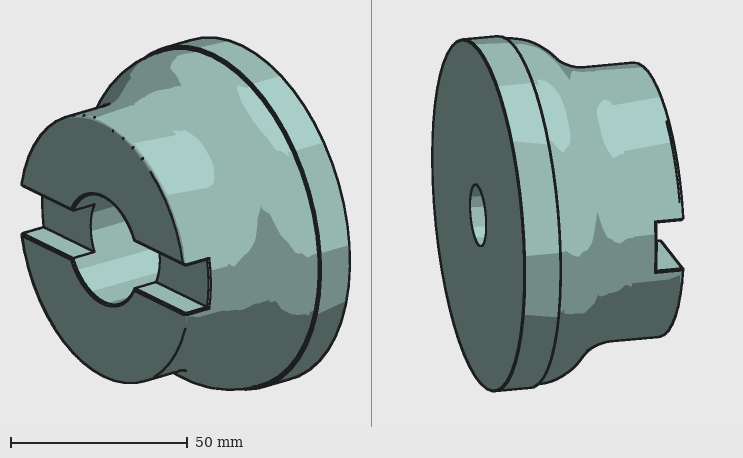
import cadquery as cq
import math

FLANGE_RADIUS = 50.0
TOTAL_LENGTH = 50.0
FLANGE_LENGTH = 10.8
FLANGE_EDGE_CHAMFER = 0.25

SHOULDER_RADIUS = 49.2
NECK_RADIUS = 39.0
NECK_LENGTH = 15.0
WAIST_ARC_RADIUS = 15.0
NECK_EDGE_FILLET = 1.0

BORE_RADIUS = 8.75
COUNTERBORE_RADIUS = 16.0
COUNTERBORE_DEPTH = TOTAL_LENGTH - FLANGE_LENGTH
SLOT_WIDTH = 14.5
SLOT_DEPTH = 8.1
OPENING_CHAMFER = 0.5

REAR_Y = 0.0
FRONT_Y = REAR_Y - TOTAL_LENGTH
SLOT_FLOOR_Y = FRONT_Y + SLOT_DEPTH

SELECTION_MARGIN = 0.01


def turned_body():
    """Solid of revolution about Y: flange, S-shaped waist and neck."""
    flange_front = REAR_Y - FLANGE_LENGTH
    neck_start = FRONT_Y + NECK_LENGTH

    arc_drop = (SHOULDER_RADIUS - NECK_RADIUS) / 2
    arc_angle = math.acos(1 - arc_drop / WAIST_ARC_RADIUS)
    arc_length_y = WAIST_ARC_RADIUS * math.sin(arc_angle)
    half_arc_drop = WAIST_ARC_RADIUS * (1 - math.cos(arc_angle / 2))
    half_arc_y = WAIST_ARC_RADIUS * math.sin(arc_angle / 2)
    inflection_y = neck_start + arc_length_y
    shoulder_end = inflection_y + arc_length_y

    profile = (
        cq.Workplane("ZY")
        .moveTo(0, REAR_Y)
        .lineTo(FLANGE_RADIUS, REAR_Y)
        .lineTo(FLANGE_RADIUS, flange_front)
        .lineTo(SHOULDER_RADIUS, flange_front)
        .lineTo(SHOULDER_RADIUS, shoulder_end)
        .threePointArc(
            (SHOULDER_RADIUS - half_arc_drop, shoulder_end - half_arc_y),
            (SHOULDER_RADIUS - arc_drop, inflection_y),
        )
        .threePointArc(
            (NECK_RADIUS + half_arc_drop, neck_start + half_arc_y),
            (NECK_RADIUS, neck_start),
        )
        .lineTo(NECK_RADIUS, FRONT_Y)
        .lineTo(0, FRONT_Y)
        .close()
    )
    body = profile.revolve(360, (0, 0, 0), (0, 1, 0))
    body = body.edges(cq.selectors.RadiusNthSelector(-1)).chamfer(FLANGE_EDGE_CHAMFER)
    return body.faces("<Y").edges().fillet(NECK_EDGE_FILLET)


def front_cylinder(radius, depth):
    """Cylinder on the Y axis that runs from the front face into the part."""
    return cq.Workplane("XZ", origin=(0, FRONT_Y + depth, 0)).circle(radius).extrude(depth)


def cross_slot():
    """Bar along X that opens the front face across its full width."""
    bar = cq.Workplane("XY").box(2 * FLANGE_RADIUS, 2 * SLOT_DEPTH, SLOT_WIDTH)
    return bar.translate((0, FRONT_Y, 0))


def lies_on_opening_rim(edge):
    """True for edges where the slot or counterbore meets the front face or the neck surface."""
    box = edge.BoundingBox()
    center = edge.Center()
    flat_face_radius = NECK_RADIUS - NECK_EDGE_FILLET
    on_front_face = box.ymax < FRONT_Y + SELECTION_MARGIN
    inside_fillet = max(box.xmax, box.zmax, -box.zmin) < flat_face_radius - SELECTION_MARGIN

    within_slot_width = max(abs(box.zmin), abs(box.zmax)) < SLOT_WIDTH / 2 + SELECTION_MARGIN
    within_slot_depth = box.ymax < SLOT_FLOOR_Y + SELECTION_MARGIN
    near_slot_end = abs(center.x) > (COUNTERBORE_RADIUS + NECK_RADIUS) / 2
    on_slot_end = within_slot_width and within_slot_depth and near_slot_end
    return (on_front_face and inside_fillet) or on_slot_end


def chamfer_opening_rims(part):
    """Break the continuous rims of the counterbore and slot, including the slot ends."""
    rim_edges = [edge for edge in part.edges().vals() if lies_on_opening_rim(edge)]
    return part.newObject(rim_edges).chamfer(OPENING_CHAMFER)


body = turned_body()
body = body.cut(front_cylinder(BORE_RADIUS, TOTAL_LENGTH))
body = body.cut(front_cylinder(COUNTERBORE_RADIUS, COUNTERBORE_DEPTH))
body = body.cut(cross_slot())
result = chamfer_opening_rims(body)